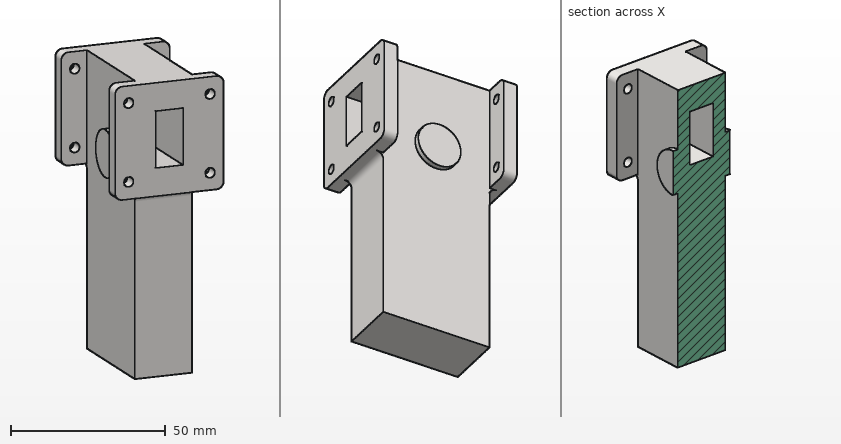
import cadquery as cq

body_width = 40.0
body_depth = 20.0
body_height = 100.0

flange_size = 38.0
flange_thickness = 5.0
flange_corner_radius = 2.5
flange_center_z = body_height - flange_size / 2
flange_bottom_z = body_height - flange_size
overall_width = body_width + 2 * flange_thickness
neck_fillet_radius = 2.5

channel_depth = 9.525
channel_height = 19.05

bolt_hole_diameter = 3.3
bolt_spacing_y = 28.5
bolt_spacing_z = 26.4

boss_diameter = 16.0
boss_projection = 2.0
boss_drop_from_top = 29.3
boss_center_z = body_height - boss_drop_from_top


def make_body():
    """Block with a wider head that spans the flanges, blended by a fillet under each."""
    half_width = body_width / 2
    half_overall = overall_width / 2
    fillet_end_x = half_width + neck_fillet_radius
    fillet_end_z = flange_bottom_z - neck_fillet_radius
    return (
        cq.Workplane("XZ")
        .moveTo(-half_width, 0)
        .lineTo(half_width, 0)
        .lineTo(half_width, fillet_end_z)
        .radiusArc((fillet_end_x, flange_bottom_z), neck_fillet_radius)
        .lineTo(half_overall, flange_bottom_z)
        .lineTo(half_overall, body_height)
        .lineTo(-half_overall, body_height)
        .lineTo(-half_overall, flange_bottom_z)
        .lineTo(-fillet_end_x, flange_bottom_z)
        .radiusArc((-half_width, fillet_end_z), neck_fillet_radius)
        .close()
        .extrude(body_depth / 2, both=True)
    )


def make_flange(side):
    """Rounded plate on the side of the body given by the sign of X."""
    center_x = side * (body_width + flange_thickness) / 2
    return (
        cq.Workplane("XY")
        .box(flange_thickness, flange_size, flange_size)
        .edges("|X")
        .fillet(flange_corner_radius)
        .translate((center_x, 0, flange_center_z))
    )


def make_bosses():
    """One cylinder through the body, standing proud of both broad faces."""
    return (
        cq.Workplane("XZ")
        .center(0, boss_center_z)
        .circle(boss_diameter / 2)
        .extrude(body_depth / 2 + boss_projection, both=True)
    )


def make_channel():
    """Rectangular bar that opens the channel from one flange face to the other."""
    return (
        cq.Workplane("XY")
        .box(overall_width, channel_depth, channel_height)
        .translate((0, 0, flange_center_z))
    )


def make_bolt_holes():
    """Drill bodies on the four bolt positions, passing through both flanges."""
    return (
        cq.Workplane("YZ")
        .center(0, flange_center_z)
        .rect(bolt_spacing_y, bolt_spacing_z, forConstruction=True)
        .vertices()
        .circle(bolt_hole_diameter / 2)
        .extrude(overall_width / 2, both=True)
    )


part = make_body().union(make_bosses())
for side in (-1, 1):
    part = part.union(make_flange(side))

result = part.cut(make_channel()).cut(make_bolt_holes())